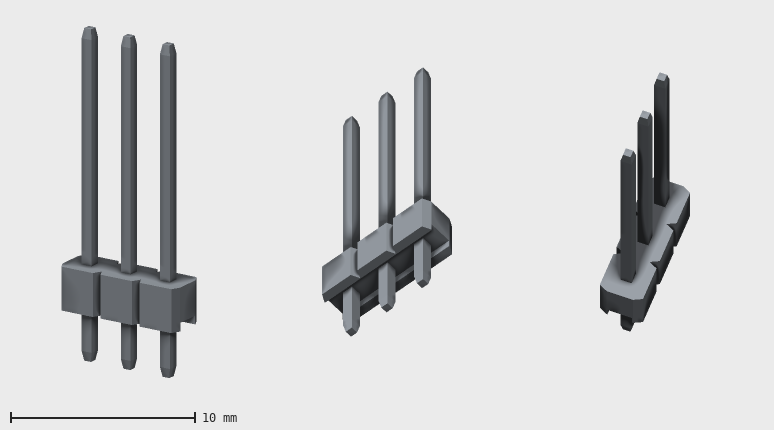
import cadquery as cq

pin_count = 3
body_length = 7.62
body_depth = 2.5
body_height = 2.5
pin_length = 19.0
pitch = body_length / pin_count

tail_length = 3.0
corner_x = 0.25
corner_y = 0.5
channel_width = 1.45
channel_height = 0.5

pin_width = 0.65
tip_width = 0.44
tip_height = 0.57


def make_segment(center_x):
    """One octagonal housing cell; the cut corners of neighbours form V notches."""
    half_length = pitch / 2
    half_depth = body_depth / 2
    outline = [
        (half_length, half_depth - corner_y),
        (half_length - corner_x, half_depth),
        (corner_x - half_length, half_depth),
        (-half_length, half_depth - corner_y),
        (-half_length, corner_y - half_depth),
        (corner_x - half_length, -half_depth),
        (half_length - corner_x, -half_depth),
        (half_length, corner_y - half_depth),
    ]
    return (
        cq.Workplane("XY", origin=(center_x, 0, tail_length))
        .polyline(outline)
        .close()
        .extrude(body_height)
    )


def make_channel():
    """Groove running along the full underside of the housing."""
    return cq.Workplane("XY", origin=(0, 0, tail_length)).box(
        body_length, channel_width, channel_height, centered=(True, True, False)
    )


def make_tip(center_x, base_z, direction):
    """Tapered pin end, narrowing from base_z up (+1) or down (-1)."""
    return (
        cq.Workplane("XY", origin=(center_x, 0, base_z))
        .rect(pin_width, pin_width)
        .workplane(offset=direction * tip_height)
        .rect(tip_width, tip_width)
        .loft(combine=True)
    )


def make_pin(center_x):
    """Full-length pin passing through the housing."""
    shaft_length = pin_length - 2 * tip_height
    shaft = cq.Workplane("XY", origin=(center_x, 0, tip_height)).box(
        pin_width, pin_width, shaft_length, centered=(True, True, False)
    )
    lower_tip = make_tip(center_x, tip_height, -1)
    upper_tip = make_tip(center_x, pin_length - tip_height, 1)
    return shaft.union(lower_tip).union(upper_tip)


pin_positions = [(i - (pin_count - 1) / 2) * pitch for i in range(pin_count)]

result = make_segment(pin_positions[0])
for x in pin_positions[1:]:
    result = result.union(make_segment(x))
result = result.cut(make_channel())

for x in pin_positions:
    result = result.union(make_pin(x))